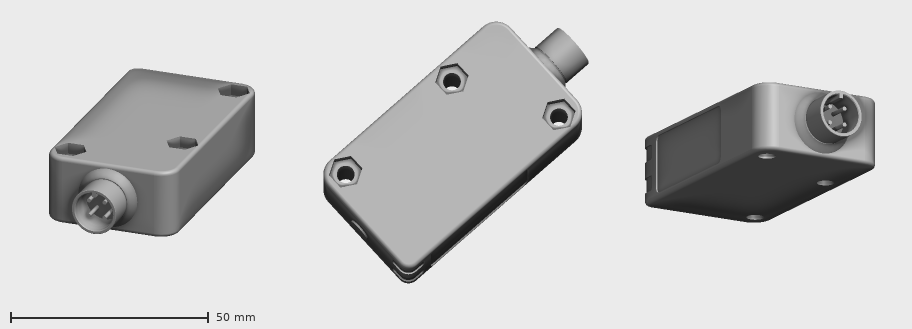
import cadquery as cq
import math

HOUSING_WIDTH = 35.0
HOUSING_HEIGHT = 18.0
BUTTON_HEIGHT = 0.5
CONNECTOR_LENGTH = 9.9
TOTAL_LENGTH = 72.5
HOUSING_LENGTH = TOTAL_LENGTH - CONNECTOR_LENGTH - BUTTON_HEIGHT
LARGE_CORNER_RADIUS = 5.0
SMALL_CORNER_RADIUS = 3.0
EDGE_FILLET = 1.0

HOLE_DIAMETER = 4.5
HOLE_X = 12.5
HOLE_CENTERS = [(-HOLE_X, 6.1), (HOLE_X, 20.1), (HOLE_X, 56.2)]
NUT_ACROSS_FLATS = 7.5
NUT_POCKET_DEPTH = 3.0

PANEL_LENGTH = 33.1
PANEL_HEIGHT = 15.15
PANEL_CORNER_RADIUS = 1.45
PANEL_BACK_MARGIN = 7.9
PANEL_DEPTH = 0.4

WINDOW_HEIGHT = 4.0
WINDOW_OFFSET_Z = 4.05
WINDOW_REACH = 5.7
WINDOW_DEPTH = 0.4
WINDOW_CORNER_RADIUS = 0.7

BUTTON_DIAMETER = 6.1
BUTTON_X = 0.5

COLLAR_RADIUS = 8.0
TUBE_RADIUS = 6.0
COLLAR_LENGTH = COLLAR_RADIUS - TUBE_RADIUS
NECK_RADIUS = 5.7
NECK_LENGTH = 0.4
RIM_CHAMFER = 0.11
BORE_RADIUS = 5.1
BORE_CHAMFER = 0.2
BORE_DEPTH = CONNECTOR_LENGTH - COLLAR_LENGTH
KEY_WIDTH = 1.1
KEY_TIP_Z = 4.05
PIN_DIAMETER = 1.1
PIN_OFFSET = 2.1
PIN_SETBACK = 2.0

HALF_WIDTH = HOUSING_WIDTH / 2
HALF_HEIGHT = HOUSING_HEIGHT / 2
BORE_FLOOR_Y = BORE_DEPTH - CONNECTOR_LENGTH


def housing_block(inset):
    """Block with the housing's rounded outline, shrunk inwards by inset on every side wall."""
    return (
        cq.Workplane("XY")
        .box(HOUSING_WIDTH - 2 * inset, HOUSING_LENGTH - 2 * inset, HOUSING_HEIGHT)
        .translate((0, HOUSING_LENGTH / 2, 0))
        .edges("|Z and (<Y or >X)")
        .fillet(LARGE_CORNER_RADIUS - inset)
        .edges("|Z and <X and >Y")
        .fillet(SMALL_CORNER_RADIUS - inset)
    )


def cylinder_along_y(radius, start_y, end_y, x=0, z=0):
    """Cylinder parallel to Y between two Y positions."""
    base = cq.Plane((x, start_y, z), xDir=(1, 0, 0), normal=(0, 1, 0))
    return cq.Workplane(base).circle(radius).extrude(end_y - start_y)


def make_housing():
    return housing_block(0).faces("<Z or >Z").edges().fillet(EDGE_FILLET)


def make_mounting_cuts():
    holes = (
        cq.Workplane("XY", origin=(0, 0, -HALF_HEIGHT))
        .pushPoints(HOLE_CENTERS)
        .circle(HOLE_DIAMETER / 2)
        .extrude(HOUSING_HEIGHT)
    )
    across_corners = NUT_ACROSS_FLATS / math.cos(math.pi / 6)
    pockets = (
        cq.Workplane("XY", origin=(0, 0, HALF_HEIGHT - NUT_POCKET_DEPTH))
        .pushPoints(HOLE_CENTERS)
        .polygon(6, across_corners)
        .extrude(NUT_POCKET_DEPTH)
    )
    return holes.union(pockets)


def make_panel_cut():
    panel_y = HOUSING_LENGTH - PANEL_BACK_MARGIN - PANEL_LENGTH / 2
    return (
        cq.Workplane("XY")
        .box(PANEL_DEPTH, PANEL_LENGTH, PANEL_HEIGHT)
        .edges("|X")
        .fillet(PANEL_CORNER_RADIUS)
        .translate((PANEL_DEPTH / 2 - HALF_WIDTH, panel_y, 0))
    )


def make_window_cut(z):
    """Skin of even depth around the small back corner, with rounded ends."""
    block = (
        cq.Workplane("XY")
        .box(WINDOW_REACH, WINDOW_REACH, WINDOW_HEIGHT)
        .edges("(|X and <Y) or (|Y and >X)")
        .fillet(WINDOW_CORNER_RADIUS)
        .translate((WINDOW_REACH / 2 - HALF_WIDTH, HOUSING_LENGTH - WINDOW_REACH / 2, z))
    )
    core = housing_block(WINDOW_DEPTH)
    return block.cut(core)


def make_button():
    return cylinder_along_y(
        BUTTON_DIAMETER / 2,
        HOUSING_LENGTH - WINDOW_DEPTH,
        HOUSING_LENGTH + BUTTON_HEIGHT,
        x=BUTTON_X,
    )


def make_connector():
    neck_end_y = -COLLAR_LENGTH - NECK_LENGTH
    shell = (
        cq.Workplane("XY")
        .moveTo(0, 0)
        .lineTo(COLLAR_RADIUS, 0)
        .lineTo(TUBE_RADIUS, -COLLAR_LENGTH)
        .lineTo(NECK_RADIUS, -COLLAR_LENGTH)
        .lineTo(NECK_RADIUS, neck_end_y)
        .lineTo(TUBE_RADIUS, neck_end_y)
        .lineTo(TUBE_RADIUS, RIM_CHAMFER - CONNECTOR_LENGTH)
        .lineTo(TUBE_RADIUS - RIM_CHAMFER, -CONNECTOR_LENGTH)
        .lineTo(BORE_RADIUS + BORE_CHAMFER, -CONNECTOR_LENGTH)
        .lineTo(BORE_RADIUS, BORE_CHAMFER - CONNECTOR_LENGTH)
        .lineTo(BORE_RADIUS, BORE_FLOOR_Y)
        .lineTo(0, BORE_FLOOR_Y)
        .close()
        .revolve(360, (0, 0, 0), (0, 1, 0))
    )
    key_top_z = BORE_RADIUS + BORE_CHAMFER
    key = (
        cq.Workplane("XY")
        .box(KEY_WIDTH, BORE_DEPTH, key_top_z - KEY_TIP_Z)
        .translate((0, BORE_FLOOR_Y - BORE_DEPTH / 2, (key_top_z + KEY_TIP_Z) / 2))
    )
    connector = shell.union(key)
    pin_tip_y = PIN_SETBACK - CONNECTOR_LENGTH
    for x in (-PIN_OFFSET, PIN_OFFSET):
        for z in (-PIN_OFFSET, PIN_OFFSET):
            connector = connector.union(cylinder_along_y(PIN_DIAMETER / 2, pin_tip_y, 0, x, z))
    return connector


housing = make_housing().cut(make_mounting_cuts()).cut(make_panel_cut())
for window_z in (-WINDOW_OFFSET_Z, WINDOW_OFFSET_Z):
    housing = housing.cut(make_window_cut(window_z))

result = housing.union(make_button()).union(make_connector())